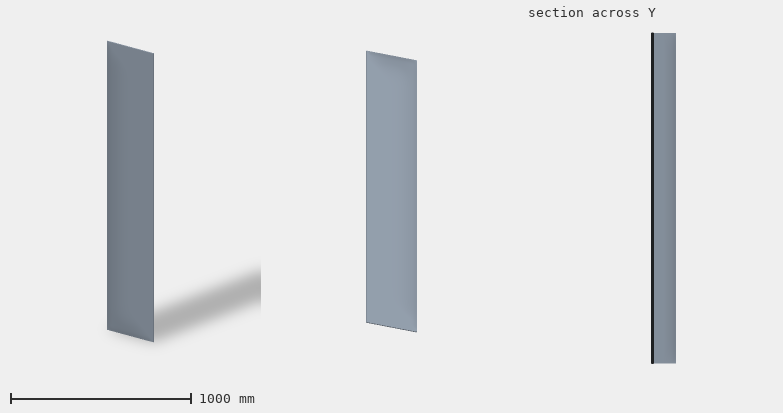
import cadquery as cq

height = 1829
width = 295.0
thickness = 6.5
turn_angle = 30

plate = cq.Workplane("XY").box(width, thickness, height)
result = plate.rotate((0, 0, 0), (0, 0, 1), turn_angle)